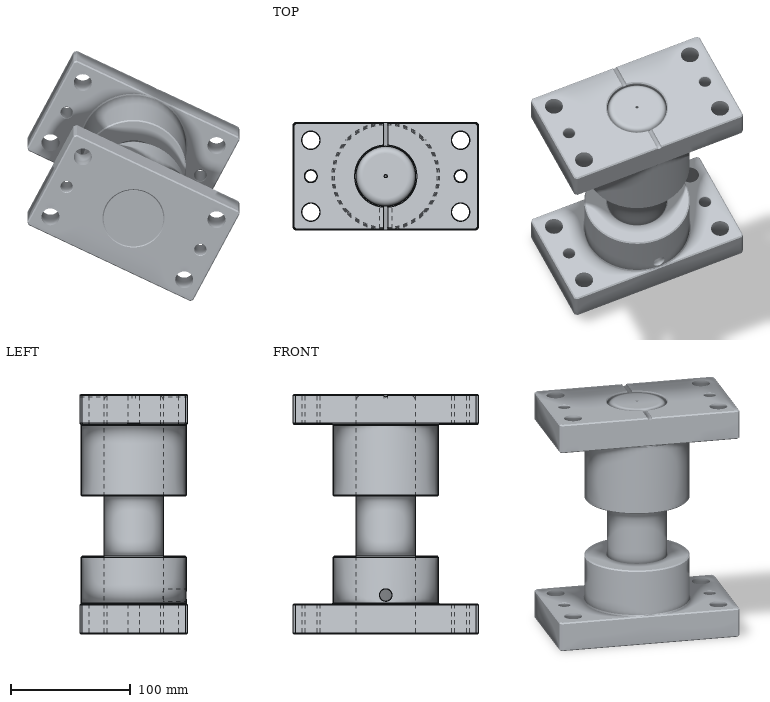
import cadquery as cq
import math

TOTAL_HEIGHT = 200
PLATE_LENGTH = 155.0
PLATE_WIDTH = 90
PLATE_THICKNESS = 25.0
PLATE_CORNER_CHAMFER = 2
EDGE_CHAMFER = 1.0

BOSS_DIAMETER = 88
BOSS_ROOT_FILLET = 1.0
LOWER_HOLDER_HEIGHT = 65.0
UPPER_HOLDER_HEIGHT = 85.0

POST_DIAMETER = 50
POST_TOP_FILLET = 6
CENTER_HOLE_DIAMETER = 2.5
CENTER_HOLE_DEPTH = 3.0

HOLE_SPACING_X = 125.0
HOLE_SPACING_Y = 60
BOLT_HOLE_DIAMETER = 15.0
DOWEL_HOLE_DIAMETER = 10
DOWEL_HOLE_CHAMFER = 0.5

SCREW_HOLE_DIAMETER = 10.5
SCREW_HOLE_HEIGHT = LOWER_HOLDER_HEIGHT / 2

GROOVE_RADIUS = 2


def through_hole_cutter(diameter, length, chamfer):
    """Cutter for a through hole from z = 0 up to the length, widened 45 degrees at both ends."""
    radius = diameter / 2
    profile = (
        cq.Workplane("XZ")
        .moveTo(0, 0)
        .lineTo(radius + chamfer, 0)
        .lineTo(radius, chamfer)
        .lineTo(radius, length - chamfer)
        .lineTo(radius + chamfer, length)
        .lineTo(0, length)
        .close()
    )
    return profile.revolve(360, (0, 0), (0, 1))


def make_plate():
    """Base plate on z = 0 with chamfered corners and rims."""
    return (
        cq.Workplane("XY")
        .box(PLATE_LENGTH, PLATE_WIDTH, PLATE_THICKNESS, centered=(True, True, False))
        .edges("|Z")
        .chamfer(PLATE_CORNER_CHAMFER)
        .faces("<Z or >Z")
        .edges()
        .chamfer(EDGE_CHAMFER)
    )


def make_boss(height):
    """Boss from the plate top to the given height, flared at its root and chamfered at its rim."""
    radius = BOSS_DIAMETER / 2
    root_radius = radius + BOSS_ROOT_FILLET
    root_top = PLATE_THICKNESS + BOSS_ROOT_FILLET
    arc_offset = BOSS_ROOT_FILLET * (1 - math.sqrt(0.5))
    boss = (
        cq.Workplane("XZ")
        .moveTo(0, PLATE_THICKNESS)
        .lineTo(root_radius, PLATE_THICKNESS)
        .threePointArc((radius + arc_offset, PLATE_THICKNESS + arc_offset), (radius, root_top))
        .lineTo(radius, height - EDGE_CHAMFER)
        .lineTo(radius - EDGE_CHAMFER, height)
        .lineTo(0, height)
        .close()
        .revolve(360, (0, 0), (0, 1))
    )
    flat_top_width = PLATE_WIDTH - 2 * EDGE_CHAMFER
    root_limit = cq.Workplane("XY").box(PLATE_LENGTH, flat_top_width, 2 * height)
    return boss.intersect(root_limit)


def flanged_holder(height):
    """Plate with a filleted boss, the post bore and the mounting holes."""
    holder = make_plate().union(make_boss(height))
    bore = through_hole_cutter(POST_DIAMETER, height, EDGE_CHAMFER)
    bolt_holes = (
        cq.Workplane("XY")
        .rect(HOLE_SPACING_X, HOLE_SPACING_Y, forConstruction=True)
        .vertices()
        .circle(BOLT_HOLE_DIAMETER / 2)
        .extrude(PLATE_THICKNESS)
    )
    holder = holder.cut(bore).cut(bolt_holes)
    dowel_hole = through_hole_cutter(DOWEL_HOLE_DIAMETER, PLATE_THICKNESS, DOWEL_HOLE_CHAMFER)
    for side in (-1, 1):
        holder = holder.cut(dowel_hole.translate((side * HOLE_SPACING_X / 2, 0, 0)))
    return holder


def make_lower_holder():
    """Holder standing on z = 0, with a set-screw hole from the -Y side to the bore."""
    screw_hole = (
        cq.Workplane("XZ")
        .center(0, SCREW_HOLE_HEIGHT)
        .circle(SCREW_HOLE_DIAMETER / 2)
        .extrude(BOSS_DIAMETER)
    )
    return flanged_holder(LOWER_HOLDER_HEIGHT).cut(screw_hole)


def make_upper_holder():
    """Holder hung upside down from the top, with a vent groove along Y."""
    holder = (
        flanged_holder(UPPER_HOLDER_HEIGHT)
        .rotate((0, 0, 0), (1, 0, 0), 180)
        .translate((0, 0, TOTAL_HEIGHT))
    )
    groove = (
        cq.Workplane("XZ", origin=(0, 0, TOTAL_HEIGHT))
        .moveTo(-GROOVE_RADIUS, 0)
        .threePointArc((0, -GROOVE_RADIUS), (GROOVE_RADIUS, 0))
        .close()
        .extrude(PLATE_WIDTH / 2, both=True)
    )
    return holder.cut(groove)


def make_post():
    """Full-height post with a rounded top edge and a small center hole."""
    return (
        cq.Workplane("XY")
        .circle(POST_DIAMETER / 2)
        .extrude(TOTAL_HEIGHT)
        .faces(">Z")
        .edges()
        .fillet(POST_TOP_FILLET)
        .faces(">Z")
        .workplane()
        .hole(CENTER_HOLE_DIAMETER, CENTER_HOLE_DEPTH)
    )


lower_holder = make_lower_holder()
upper_holder = make_upper_holder()
post = make_post()

result = cq.Compound.makeCompound([lower_holder.val(), upper_holder.val(), post.val()])